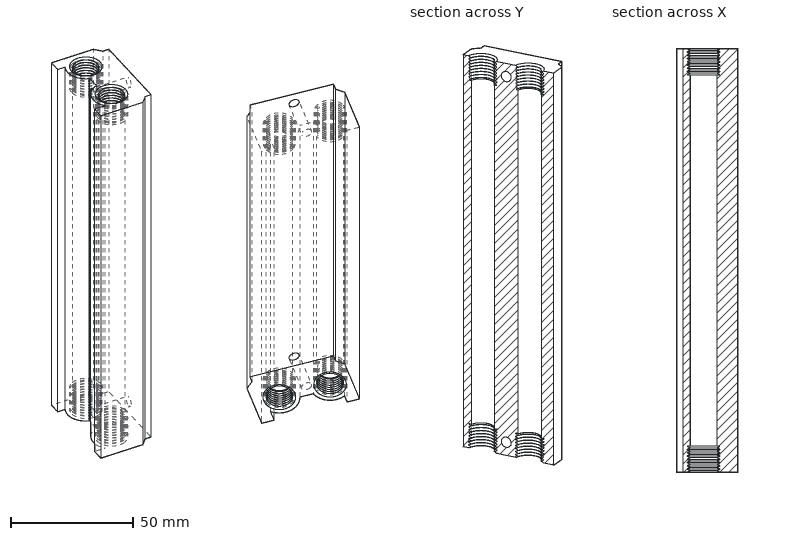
import cadquery as cq

length = 173.0
width = 42.0
depth = 25.0
half_width = width / 2
front_y = -depth / 2
back_y = depth / 2

rail_half_width = 18.0
shoulder_top = 2.8
shoulder_bottom = 5.5

leg_width = 5.4
lobe_radius = 8.5
channel_width = 5.9
channel_floor_y = back_y - 16.6

bore_mid_x = -1.0
bore_spacing = 21.8
bore_y = back_y - 14.0
bore_diameter = 10.9
bore_centers = [(bore_mid_x + side * bore_spacing / 2, bore_y) for side in (-1, 1)]

thread_diameter = 13.3
thread_pitch = 1.33
thread_turns = 8

mount_hole_diameter = 4.3
mount_hole_inset = 5.9


def make_block():
    """Extrude the outline with its sloped back shoulders."""
    outline = [
        (-half_width, front_y),
        (half_width, front_y),
        (half_width, back_y - shoulder_bottom),
        (rail_half_width, back_y - shoulder_top),
        (rail_half_width, back_y),
        (-rail_half_width, back_y),
        (-rail_half_width, back_y - shoulder_top),
        (-half_width, back_y - shoulder_bottom),
    ]
    return cq.Workplane("XY").polyline(outline).close().extrude(length)


def make_slot(center_x, slot_width):
    """Full-length box open at the front face and reaching the channel floor."""
    return (
        cq.Workplane("XY")
        .center(center_x, (front_y + channel_floor_y) / 2)
        .rect(slot_width, channel_floor_y - front_y)
        .extrude(length)
    )


def make_front_recess():
    """Space between the legs, leaving the lobes around the bores."""
    lobes = cq.Workplane("XY").pushPoints(bore_centers).circle(lobe_radius).extrude(length)
    opening = make_slot(0, width - 2 * leg_width)
    channel = make_slot(bore_mid_x, channel_width)
    return opening.cut(lobes).union(channel)


def make_thread_cutter():
    """Revolved cutter for one port: V grooves side by side down from z = 0."""
    crest = bore_diameter / 2
    root = thread_diameter / 2
    points = [(0, 0), (root, 0)]
    for turn in range(thread_turns):
        top = -turn * thread_pitch
        points += [(crest, top - thread_pitch / 2), (root, top - thread_pitch)]
    end = -thread_turns * thread_pitch
    points += [(0, end)]
    return cq.Workplane("XZ").polyline(points).close().revolve(360, (0, 0, 0), (0, 1, 0))


block = make_block().cut(make_front_recess())

bores = cq.Workplane("XY").pushPoints(bore_centers).circle(bore_diameter / 2).extrude(length)
block = block.cut(bores)

top_thread = make_thread_cutter()
bottom_thread = top_thread.mirror("XY")
for x, y in bore_centers:
    block = block.cut(top_thread.translate((x, y, length)))
    block = block.cut(bottom_thread.translate((x, y, 0)))

for z in (mount_hole_inset, length - mount_hole_inset):
    hole = (
        cq.Workplane("XZ")
        .center(bore_mid_x, z)
        .circle(mount_hole_diameter / 2)
        .extrude(depth, both=True)
    )
    block = block.cut(hole)

result = block